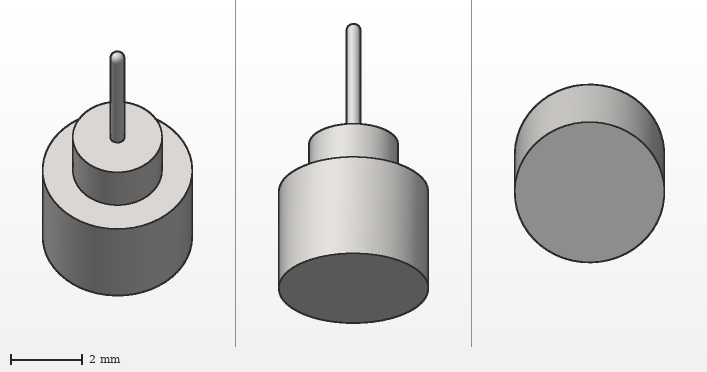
import cadquery as cq

total_height = 8.35
base_diameter = 4.2
base_height = 3.06
collar_diameter = 2.505
collar_height = 1.5
pin_diameter = 0.4
tip_radius = 0.18

collar_top = base_height + collar_height
pin_height = total_height - collar_top


def cylinder(diameter, height, bottom):
    """Upright cylinder on the Z axis, starting at the given height."""
    return cq.Workplane("XY").workplane(offset=bottom).circle(diameter / 2).extrude(height)


base = cylinder(base_diameter, base_height, 0)
collar = cylinder(collar_diameter, collar_height, base_height)

pin = cylinder(pin_diameter, pin_height, collar_top).faces(">Z").edges().fillet(tip_radius)

result = base.union(collar).union(pin)